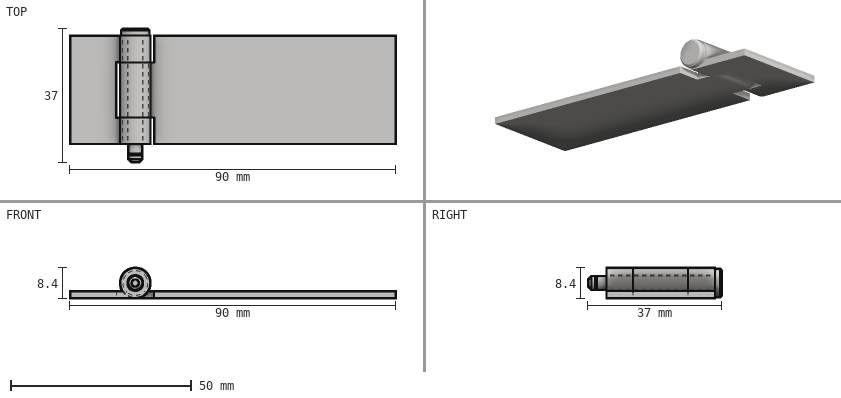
import cadquery as cq

total_length = 90.0
leaf_width = 30.0
leaf_thickness = 2.0
pin_axis_x = 18.0

knuckle_radius = 4.2
middle_knuckle_length = 15.2
notch_reach = 5.2

pin_radius = 2.0
bore_clearance = 0.2
head_radius = 4.0
head_height = 2.0
head_chamfer = 0.5
tail_length = 5.0
groove_offset = 2.5
groove_width = 0.5
groove_depth = 0.3
tip_chamfer = 1.0

axis_z = knuckle_radius
end_knuckle_length = (leaf_width - middle_knuckle_length) / 2
middle_start = end_knuckle_length
middle_end = middle_start + middle_knuckle_length


def box(x_start, x_end, y_start, y_end):
    """Plate piece resting on Z = 0."""
    size = (x_end - x_start, y_end - y_start, leaf_thickness)
    return cq.Workplane("XY").box(*size, centered=False).translate((x_start, y_start, 0))


def y_cylinder(radius, y_start, y_end):
    """Cylinder about the pin axis."""
    plane = cq.Workplane("XZ", origin=(0, y_start, axis_z))
    return plane.circle(radius).extrude(y_start - y_end)


def make_leaf(direction, reach, knuckle_spans):
    """Leaf extending along X in the given direction, with a knuckle on each Y span."""
    plate_ends = sorted((direction * notch_reach, direction * reach))
    leaf = box(*plate_ends, 0, leaf_width)
    for y_start, y_end in knuckle_spans:
        web_ends = sorted((0, direction * notch_reach))
        leaf = leaf.union(box(*web_ends, y_start, y_end))
        leaf = leaf.union(y_cylinder(knuckle_radius, y_start, y_end))
    return leaf.cut(y_cylinder(pin_radius + bore_clearance, 0, leaf_width))


def make_pin():
    """Headed pin with a retaining groove and a chamfered tip, revolved about its axis."""
    groove_start = -groove_offset
    groove_end = groove_start - groove_width
    head_top = leaf_width + head_height
    profile = [
        (0, -tail_length),
        (pin_radius - tip_chamfer, -tail_length),
        (pin_radius, tip_chamfer - tail_length),
        (pin_radius, groove_end),
        (pin_radius - groove_depth, groove_end),
        (pin_radius - groove_depth, groove_start),
        (pin_radius, groove_start),
        (pin_radius, leaf_width),
        (head_radius, leaf_width),
        (head_radius, head_top - head_chamfer),
        (head_radius - head_chamfer, head_top),
        (0, head_top),
    ]
    half_section = cq.Workplane("XY").polyline(profile).close()
    return half_section.revolve(360, (0, 0, 0), (0, 1, 0)).translate((0, 0, axis_z))


short_leaf = make_leaf(-1, pin_axis_x, [(0, middle_start), (middle_end, leaf_width)])
long_leaf = make_leaf(1, total_length - pin_axis_x, [(middle_start, middle_end)])
pin = make_pin()

result = cq.Compound.makeCompound([short_leaf.val(), long_leaf.val(), pin.val()])